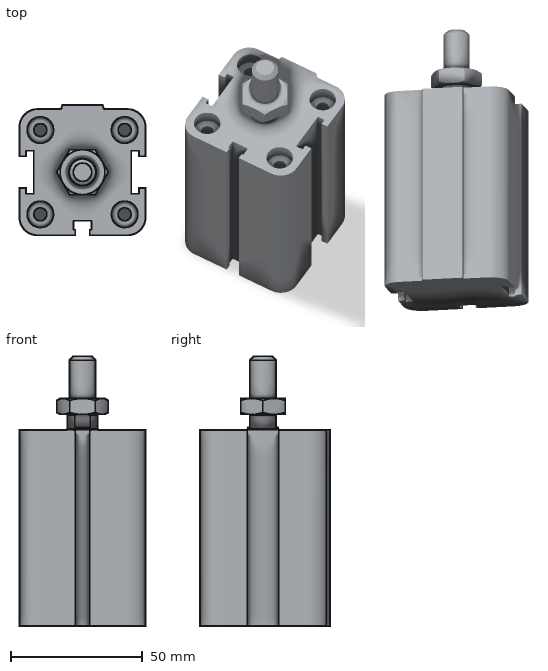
import cadquery as cq
import math

housing_width = 48.0
housing_height = 74.5
corner_radius = 7.0
rib_tip_width = 15.4
rib_root_width = 16.2
rib_height = 1.5

side_slot_mouth = 12.0
side_slot_inner = 16.2
side_slot_lip = 2.6
side_slot_depth = 5.4

front_slot_mouth = 5.3
front_slot_inner = 6.7
front_slot_lip = 2.2
front_slot_depth = 5.5

mount_pitch = 32.0
mount_hole_diameter = 4.9
mount_hole_depth = 14.5
counterbore_diameter = 10.0
counterbore_depth = 5.1

total_height = 102.5
rod_diameter = 12.0
rod_seat_depth = 14.5
rod_shoulder_height = 0.3
neck_diameter = 11.7
neck_chamfer = 0.3
flat_spacing = 10.0
flat_start = 0.9
thread_diameter = 10.0
tip_chamfer = 1.5

nut_bottom = 80.4
nut_height = 6.0
nut_across_flats = 17.0
nut_sides = 6
nut_chamfer_angle = 30.0
nut_bore_chamfer = 0.2


def t_slot(mouth, inner, lip, depth):
    """T-slot cutter that opens at the -Y face of the housing."""
    face_y = -housing_width / 2
    throat = cq.Workplane("XY").box(mouth, depth, housing_height, centered=(True, False, False))
    chamber = (
        cq.Workplane("XY")
        .box(inner, depth - lip, housing_height, centered=(True, False, False))
        .translate((0, lip, 0))
    )
    return throat.union(chamber).translate((0, face_y, 0))


def make_rib():
    """Rear rib with slightly tapered sides, reaching from the centre plane past the rear face."""
    rear_y = housing_width / 2
    tip_y = rear_y + rib_height
    half_tip = rib_tip_width / 2
    half_root = rib_root_width / 2
    outline = [
        (-half_root, 0),
        (half_root, 0),
        (half_root, rear_y),
        (half_tip, tip_y),
        (-half_tip, tip_y),
        (-half_root, rear_y),
    ]
    return cq.Workplane("XY").polyline(outline).close().extrude(housing_height)


def make_housing():
    body = (
        cq.Workplane("XY")
        .box(housing_width, housing_width, housing_height, centered=(True, True, False))
        .edges("|Z")
        .fillet(corner_radius)
    )
    body = body.union(make_rib())

    body = body.cut(t_slot(front_slot_mouth, front_slot_inner, front_slot_lip, front_slot_depth))
    side_slot = t_slot(side_slot_mouth, side_slot_inner, side_slot_lip, side_slot_depth)
    for angle in (-90, 90):
        body = body.cut(side_slot.rotate((0, 0, 0), (0, 0, 1), angle))

    body = (
        body.faces(">Z")
        .workplane(origin=(0, 0, housing_height))
        .rect(mount_pitch, mount_pitch, forConstruction=True)
        .vertices()
        .cboreHole(mount_hole_diameter, counterbore_diameter, counterbore_depth, mount_hole_depth)
    )
    return body.faces(">Z").workplane(origin=(0, 0, housing_height)).hole(rod_diameter, rod_seat_depth)


def make_rod():
    rod_radius = rod_diameter / 2
    neck_radius = neck_diameter / 2
    thread_radius = thread_diameter / 2
    seat_z = housing_height - rod_seat_depth
    shoulder_chamfer = rod_radius - neck_radius
    shoulder_z = housing_height + rod_shoulder_height
    rod = (
        cq.Workplane("XZ")
        .moveTo(0, seat_z)
        .lineTo(rod_radius, seat_z)
        .lineTo(rod_radius, shoulder_z)
        .lineTo(neck_radius, shoulder_z + shoulder_chamfer)
        .lineTo(neck_radius, nut_bottom - neck_chamfer)
        .lineTo(neck_radius - neck_chamfer, nut_bottom)
        .lineTo(thread_radius, nut_bottom)
        .lineTo(thread_radius, total_height - tip_chamfer)
        .lineTo(thread_radius - tip_chamfer, total_height)
        .lineTo(0, total_height)
        .close()
        .revolve(360, (0, 0), (0, 1))
    )
    flat_z = housing_height + flat_start
    for side in (-1, 1):
        waste = (
            cq.Workplane("XY")
            .box(rod_diameter, rod_diameter, nut_bottom - flat_z, centered=(True, True, False))
            .translate((0, side * (flat_spacing + rod_diameter) / 2, flat_z))
        )
        rod = rod.cut(waste)
    return rod


def make_nut():
    corner_diameter = nut_across_flats / math.cos(math.pi / nut_sides)
    nut = (
        cq.Workplane("XY")
        .workplane(offset=nut_bottom)
        .polygon(nut_sides, corner_diameter)
        .extrude(nut_height)
    )
    face_radius = nut_across_flats / 2
    corner_reach = corner_diameter / 2
    drop = (corner_reach - face_radius) * math.tan(math.radians(nut_chamfer_angle))
    nut_top = nut_bottom + nut_height
    envelope = (
        cq.Workplane("XZ")
        .moveTo(0, nut_bottom)
        .lineTo(face_radius, nut_bottom)
        .lineTo(corner_reach, nut_bottom + drop)
        .lineTo(corner_reach, nut_top - drop)
        .lineTo(face_radius, nut_top)
        .lineTo(0, nut_top)
        .close()
        .revolve(360, (0, 0), (0, 1))
    )
    nut = nut.intersect(envelope)
    nut = nut.faces(">Z").workplane(origin=(0, 0, nut_top)).hole(thread_diameter)
    bore_rim = nut.faces(">Z").edges(cq.selectors.RadiusNthSelector(0))
    return bore_rim.chamfer(nut_bore_chamfer)


housing = make_housing()
rod = make_rod()
nut = make_nut()

result = cq.Compound.makeCompound([housing.val(), rod.val(), nut.val()])